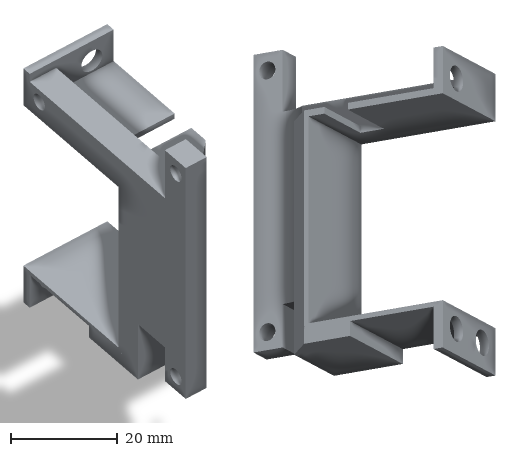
import cadquery as cq

LENGTH = 49.4
DEPTH = 20.0
HEIGHT = 69.5

FLANGE_THICKNESS = 1.95
FLANGE_HEIGHT = 9.3
FLANGE_HOLE_DIAMETER = 5.0
LOWER_FLANGE_HOLE_Z = 5.1
UPPER_FLANGE_HOLE_Z = 54.35
FLANGE_HOLE_NEAR_Y = 5.0
FLANGE_HOLE_FAR_Y = 14.8

SHELF_THICKNESS = 1.0
FOOT_X = 20.0
FOOT_BOTTOM_Z = 5.4
WEB_LEFT_X = 29.0
WEB_RIGHT_X = 34.9
NOTCH_TOP_Z = 19.45
WEB_CHAMFER = 4.9

ARM_BOTTOM_Z = 50.0
ARM_TOP_Z = 57.3
ARM_DEPTH = 6.3
LEDGE_THICKNESS = 1.3
LEDGE_GAP_LEFT_X = 20.5
LEDGE_GAP_RIGHT_X = 25.6

POST_LEFT_X = 43.1
POST_BOTTOM_Z = 10.9
POST_DEPTH = 5.0
BODY_FILLET_RADIUS = 7.5

SCREW_HOLE_DIAMETER = 3.5
SCREW_HOLE_POSITIONS = [(4.85, 54.3), (46.4, 65.95), (46.4, 14.45)]

SLIT_X = 29.8
SLIT_Z = 8.55
SLIT_WIDTH = 0.1
SLIT_HEIGHT = 0.5


def block(x_range, y_range, z_range):
    """Axis-aligned box between the given limits."""
    size = [high - low for low, high in (x_range, y_range, z_range)]
    corner = (x_range[0], y_range[0], z_range[0])
    return cq.Workplane("XY").box(*size, centered=False).translate(corner)


def make_bracket():
    """Lower shelf, web, arm, ledge and post as one front outline of full depth."""
    shelf_bottom_z = FLANGE_HEIGHT - SHELF_THICKNESS
    outline = [
        (0, 0),
        (FLANGE_THICKNESS, 0),
        (FLANGE_THICKNESS, shelf_bottom_z),
        (FOOT_X, shelf_bottom_z),
        (FOOT_X, FOOT_BOTTOM_Z),
        (WEB_RIGHT_X, FOOT_BOTTOM_Z),
        (WEB_RIGHT_X, NOTCH_TOP_Z),
        (POST_LEFT_X, NOTCH_TOP_Z),
        (POST_LEFT_X, POST_BOTTOM_Z),
        (LENGTH, POST_BOTTOM_Z),
        (LENGTH, HEIGHT),
        (POST_LEFT_X, HEIGHT),
        (POST_LEFT_X, ARM_TOP_Z),
        (FLANGE_THICKNESS, ARM_TOP_Z),
        (FLANGE_THICKNESS, ARM_BOTTOM_Z + FLANGE_HEIGHT),
        (0, ARM_BOTTOM_Z + FLANGE_HEIGHT),
        (0, ARM_BOTTOM_Z),
        (WEB_LEFT_X, ARM_BOTTOM_Z),
        (WEB_LEFT_X, FLANGE_HEIGHT),
        (0, FLANGE_HEIGHT),
    ]
    return cq.Workplane("XZ").polyline(outline).close().extrude(-DEPTH)


def make_plan_limit():
    """Vertical prism that gives the bracket its chamfer, concave fillet and shallow post."""
    fillet_end_x = WEB_RIGHT_X + BODY_FILLET_RADIUS
    fillet_start_y = POST_DEPTH + BODY_FILLET_RADIUS
    half_chord = BODY_FILLET_RADIUS * 0.5**0.5
    fillet_middle = (fillet_end_x - half_chord, fillet_start_y - half_chord)
    return (
        cq.Workplane("XY")
        .moveTo(0, 0)
        .lineTo(LENGTH, 0)
        .lineTo(LENGTH, POST_DEPTH)
        .lineTo(fillet_end_x, POST_DEPTH)
        .threePointArc(fillet_middle, (WEB_RIGHT_X, fillet_start_y))
        .lineTo(WEB_RIGHT_X, DEPTH - WEB_CHAMFER)
        .lineTo(WEB_RIGHT_X - WEB_CHAMFER, DEPTH)
        .lineTo(0, DEPTH)
        .close()
        .extrude(HEIGHT)
    )


def make_ledge_cuts():
    """Space above the ledge, and the gap that splits the ledge, behind the arm."""
    above = block(
        (FLANGE_THICKNESS, LENGTH),
        (ARM_DEPTH, DEPTH),
        (ARM_BOTTOM_Z + LEDGE_THICKNESS, HEIGHT),
    )
    gap = block(
        (LEDGE_GAP_LEFT_X, LEDGE_GAP_RIGHT_X),
        (ARM_DEPTH, DEPTH),
        (ARM_BOTTOM_Z, ARM_TOP_Z),
    )
    return above.union(gap)


def make_screw_holes():
    """Cylinders running front to back through the arm and the post."""
    return (
        cq.Workplane("XZ")
        .pushPoints(SCREW_HOLE_POSITIONS)
        .circle(SCREW_HOLE_DIAMETER / 2)
        .extrude(-DEPTH)
    )


def make_flange_holes():
    """Cylinders through the flanges: two in the lower one, one in the upper one."""
    positions = [
        (FLANGE_HOLE_NEAR_Y, LOWER_FLANGE_HOLE_Z),
        (FLANGE_HOLE_FAR_Y, LOWER_FLANGE_HOLE_Z),
        (FLANGE_HOLE_FAR_Y, UPPER_FLANGE_HOLE_Z),
    ]
    return (
        cq.Workplane("YZ")
        .pushPoints(positions)
        .circle(FLANGE_HOLE_DIAMETER / 2)
        .extrude(FLANGE_THICKNESS)
    )


def make_slit():
    """Thin upright slot running front to back through the inner corner."""
    return (
        cq.Workplane("XZ")
        .center(SLIT_X, SLIT_Z)
        .rect(SLIT_WIDTH, SLIT_HEIGHT)
        .extrude(-DEPTH)
    )


result = make_bracket().intersect(make_plan_limit())
result = result.cut(make_ledge_cuts())
result = result.cut(make_screw_holes())
result = result.cut(make_flange_holes())
result = result.cut(make_slit())